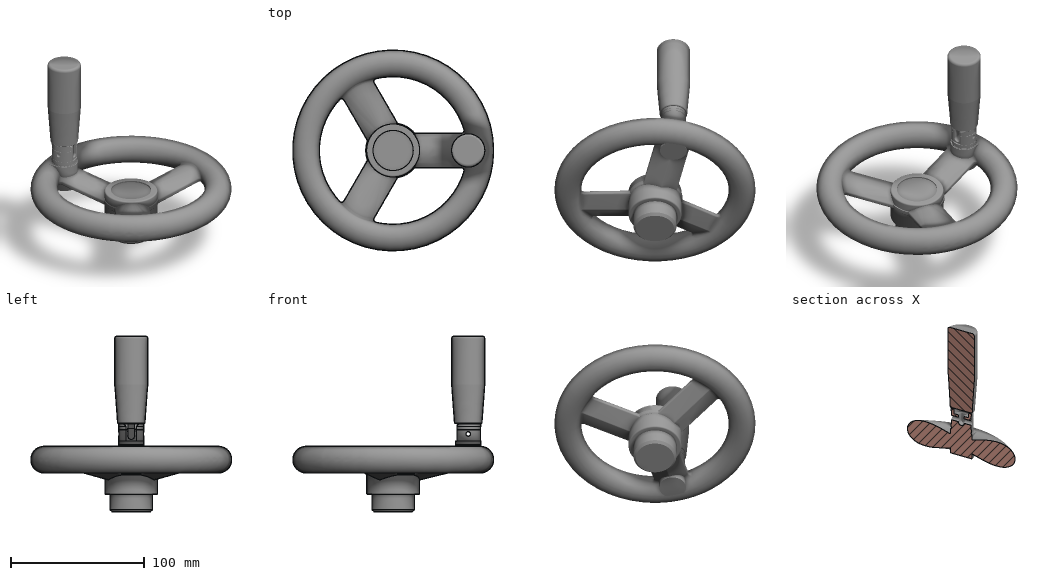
import cadquery as cq
import math


rim_radius = 65.0
rim_section_radius = 10.0

hub_top_z = -1.0
hub_radius = 39.5 / 2
hub_shoulder_z = -26.0
hub_bottom_z = -39.0
hub_edge_round = 1.0
shank_radius = 32.0 / 2
shank_chamfer = 1.8
recess_radius = 30.0 / 2
recess_depth = 1.0
band_radius = 20.5
band_top_z = -7.6
band_bottom_z = -11.3
band_chamfer = 0.7

spoke_count = 3
spoke_half_width = 13.0
spoke_edge_round = 1.0
spoke_slope = 0.23
spoke_end_radius = 60.0
spoke_axis_edge_z = -12.0
spoke_edge_thickness = 2.8
spoke_axis_crown = 6.5
spoke_end_crown = 2.6
spoke_axis_keel = 5.3
spoke_end_keel = 4.4
rim_blend_radius = 2.0

post_x = 56.0
post_base_radius = 19.0 / 2
post_radius = 9.35
post_bottom_z = -9.9
base_groove_bottom_z = 10.5
base_groove_top_z = 11.4
post_base_top_z = 13.8
post_collar_z = 24.7
post_top_z = 26.7
post_groove_z = 22.0
post_groove_height = 0.4
post_groove_depth = 0.25
pad_end_x = 64.5
pad_top_z = 9.95
socket_radius = 10.0

flat_offset = 8.5
flat_round = 2.0
slot_width = 5.0
slot_center_z = 17.6
slot_back_offset = 4.0
bore_radius = 12.68 / 2
bore_floor_z = 23.1
cross_hole_diameter = 3.25
cross_hole_z = 19.2

grip_top_z = 92.19
grip_bottom_z = 27.1
grip_taper_z = 55.8
grip_radius = 12.4
grip_bottom_radius = 10.3
grip_top_round = 2.0
grip_bottom_chamfer = 0.4


def cylinder(radius, bottom_z, top_z, center_x=0.0):
    base = cq.Workplane("XY", origin=(center_x, 0, bottom_z))
    return base.circle(radius).extrude(top_z - bottom_z)


def make_rim():
    section = cq.Workplane("XZ").center(rim_radius, 0).circle(rim_section_radius)
    return section.revolve(360, (-rim_radius, 0), (-rim_radius, 1))


def make_hub():
    barrel = cylinder(hub_radius, hub_shoulder_z, hub_top_z)
    barrel = barrel.faces("<Z or >Z").edges().fillet(hub_edge_round)
    band = cylinder(band_radius, band_bottom_z, band_top_z)
    band = band.faces("<Z").edges().chamfer(band_chamfer)
    shank = cylinder(shank_radius, hub_bottom_z, hub_shoulder_z)
    shank = shank.faces("<Z").edges().chamfer(shank_chamfer)
    return barrel.union(band).union(shank)


def spoke_section(x, crown, keel):
    edge_top = spoke_axis_edge_z + spoke_slope * x
    edge_bottom = edge_top - spoke_edge_thickness
    section = (
        cq.Workplane("YZ", origin=(x, 0, 0))
        .moveTo(-spoke_half_width, edge_top)
        .threePointArc((0, edge_top + crown), (spoke_half_width, edge_top))
        .lineTo(spoke_half_width, edge_bottom)
        .lineTo(0, edge_bottom - keel)
        .lineTo(-spoke_half_width, edge_bottom)
        .close()
    )
    return section.val()


def make_spoke(angle):
    axis_section = spoke_section(0, spoke_axis_crown, spoke_axis_keel)
    end_section = spoke_section(spoke_end_radius, spoke_end_crown, spoke_end_keel)
    spoke = cq.Workplane(cq.Solid.makeLoft([axis_section, end_section], True))
    spoke = spoke.edges("not (<X or >X)").fillet(spoke_edge_round)
    return spoke.rotate((0, 0, 0), (0, 0, 1), angle)


def make_post():
    socket = cylinder(socket_radius, post_bottom_z, pad_top_z, post_x)
    base = cylinder(post_base_radius, pad_top_z, post_base_top_z, post_x)
    neck = cylinder(post_radius, post_base_top_z, post_collar_z, post_x)
    collar = cylinder(post_base_radius, post_collar_z, post_top_z, post_x)
    pad = cq.Workplane("XY", origin=(post_x, 0, 0)).box(
        pad_end_x - post_x, 2 * socket_radius, pad_top_z, centered=(False, True, False)
    )
    return socket.union(pad).union(base).union(neck).union(collar)


def ring_groove(radius, bottom_z, top_z):
    outside = cylinder(2 * post_base_radius, bottom_z, top_z, post_x)
    return outside.cut(cylinder(radius, bottom_z, top_z, post_x))


def cut_post(body):
    neck_groove_radius = post_radius - post_groove_depth
    base_groove_radius = post_base_radius - post_groove_depth
    body = body.cut(ring_groove(neck_groove_radius, post_groove_z, post_groove_z + post_groove_height))
    body = body.cut(ring_groove(base_groove_radius, base_groove_bottom_z, base_groove_top_z))

    flat_x = post_x - flat_offset
    outside_x = post_x - 2 * post_base_radius
    bend = flat_round * (1 - math.sqrt(0.5))
    flat = (
        cq.Workplane("XZ")
        .moveTo(outside_x, post_base_top_z)
        .lineTo(flat_x, post_base_top_z)
        .lineTo(flat_x, post_top_z - flat_round)
        .threePointArc((flat_x + bend, post_top_z - bend), (flat_x + flat_round, post_top_z))
        .lineTo(outside_x, post_top_z)
        .close()
        .extrude(post_base_radius, both=True)
    )

    slot_length = slot_back_offset + 2 * post_base_radius
    slot = (
        cq.Workplane("YZ", origin=(outside_x, 0, 0))
        .moveTo(-slot_width / 2, post_top_z)
        .lineTo(-slot_width / 2, slot_center_z)
        .threePointArc((0, slot_center_z - slot_width / 2), (slot_width / 2, slot_center_z))
        .lineTo(slot_width / 2, post_top_z)
        .close()
        .extrude(slot_length)
    )
    bore = cylinder(bore_radius, bore_floor_z, post_top_z, post_x)
    cross_hole = (
        cq.Workplane("XZ", origin=(post_x, 0, cross_hole_z))
        .circle(cross_hole_diameter / 2)
        .extrude(2 * post_base_radius, both=True)
    )
    return body.cut(flat).cut(slot).cut(bore).cut(cross_hole)


def joins_rim(edge):
    center = edge.Center()
    distance = math.hypot(center.x, center.y)
    inner_limit = rim_radius - rim_section_radius - spoke_edge_thickness
    return inner_limit < distance < spoke_end_radius


def make_wheel():
    wheel = make_hub()
    for index in range(spoke_count):
        wheel = wheel.union(make_spoke(index * 360 / spoke_count))
    wheel = wheel.union(make_rim())
    wheel = wheel.edges().filter(joins_rim).fillet(rim_blend_radius)
    wheel = wheel.cut(cylinder(recess_radius, hub_top_z - recess_depth, hub_top_z))
    wheel = wheel.union(make_post())
    return cut_post(wheel)


def make_grip():
    grip = (
        cq.Workplane("XZ", origin=(post_x, 0, 0))
        .moveTo(0, grip_bottom_z)
        .lineTo(grip_bottom_radius, grip_bottom_z)
        .lineTo(grip_radius, grip_taper_z)
        .lineTo(grip_radius, grip_top_z)
        .lineTo(0, grip_top_z)
        .close()
        .revolve(360, (0, 0), (0, 1))
    )
    grip = grip.faces(">Z").edges().fillet(grip_top_round)
    return grip.faces("<Z").edges().chamfer(grip_bottom_chamfer)


wheel = make_wheel()
grip = make_grip()

result = cq.Compound.makeCompound([wheel.val(), grip.val()])